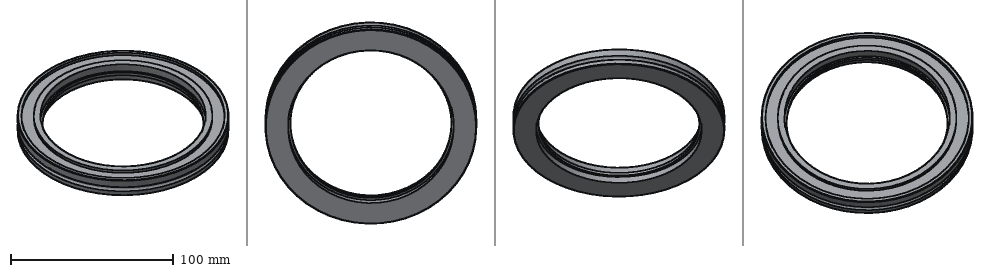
import cadquery as cq

outer_diameter = 130.0
height = 12.0
edge_chamfer = 0.4

recess_outer_diameter = 125.0
recess_inner_diameter = 110.0
recess_depth = 2.0

lip_diameter = 99.0
upper_bore_diameter = 101.8
lower_bore_diameter = 102.0
upper_bore_depth = 5.3
lip_thickness = 2.1

groove_top_depth = 5.5
groove_width = 3.0
groove_depth = groove_width / 2

top_z = height / 2
bottom_z = -height / 2
outer_radius = outer_diameter / 2


def cylinder(diameter, start_z, end_z):
    """Solid cylinder on the Z axis between two heights."""
    return cq.Workplane("XY").workplane(offset=start_z).circle(diameter / 2).extrude(end_z - start_z)


def make_body():
    """Disc with both outer edges chamfered."""
    return cylinder(outer_diameter, bottom_z, top_z).edges().chamfer(edge_chamfer)


def make_top_recess():
    """Annular cutter for the top face."""
    floor_z = top_z - recess_depth
    outside = cylinder(recess_outer_diameter, floor_z, top_z)
    return outside.cut(cylinder(recess_inner_diameter, floor_z, top_z))


def make_stepped_bore():
    """Cutter for the through bore that leaves the inward lip."""
    lip_top_z = top_z - upper_bore_depth
    lip_bottom_z = lip_top_z - lip_thickness
    bore = cylinder(lip_diameter, bottom_z, top_z)
    bore = bore.union(cylinder(upper_bore_diameter, lip_top_z, top_z))
    return bore.union(cylinder(lower_bore_diameter, bottom_z, lip_bottom_z))


def make_outer_groove():
    """Revolved cutter with a semicircular section."""
    groove_top_z = top_z - groove_top_depth
    groove_bottom_z = groove_top_z - groove_width
    middle_z = (groove_top_z + groove_bottom_z) / 2
    profile = (
        cq.Workplane("XZ")
        .moveTo(outer_radius, groove_bottom_z)
        .threePointArc((outer_radius - groove_depth, middle_z), (outer_radius, groove_top_z))
        .close()
    )
    return profile.revolve(360, (0, 0, 0), (0, 1, 0))


result = make_body().cut(make_top_recess()).cut(make_stepped_bore()).cut(make_outer_groove())